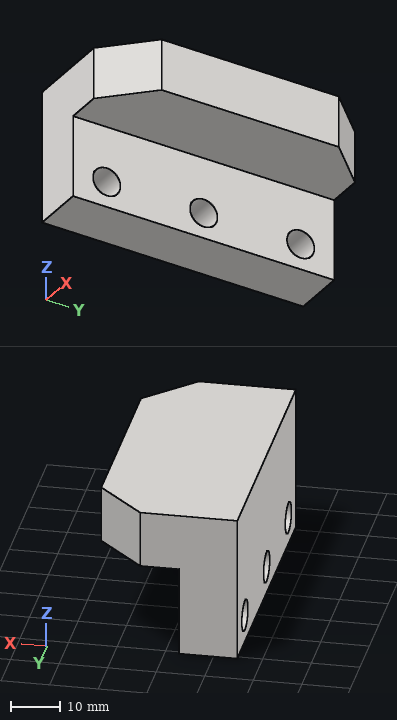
import cadquery as cq

depth = 30.0
width = 62.0
height = 31.0

wall = 12.0
corner_cut = 10.0

hole_diameter = 6.5
hole_spacing = 23.0
hole_height = 5.95
hole_count = 3


def make_leg():
    """Upright plate along the X = 0 face."""
    return cq.Workplane("XY").box(wall, width, height, centered=(False, True, False))


def make_flange():
    """Top plate with its two outer vertical corners cut off."""
    plate = cq.Workplane("XY").box(depth, width, wall, centered=(False, True, False))
    plate = plate.edges("|Z and >X").chamfer(corner_cut)
    return plate.translate((0, 0, height - wall))


def make_holes():
    """Row of cylinders running along X through the leg."""
    return (
        cq.Workplane("YZ", origin=(0, 0, hole_height))
        .rarray(hole_spacing, 0.6, hole_count, 1)
        .circle(hole_diameter / 2)
        .extrude(wall)
    )


result = make_leg().union(make_flange()).cut(make_holes())